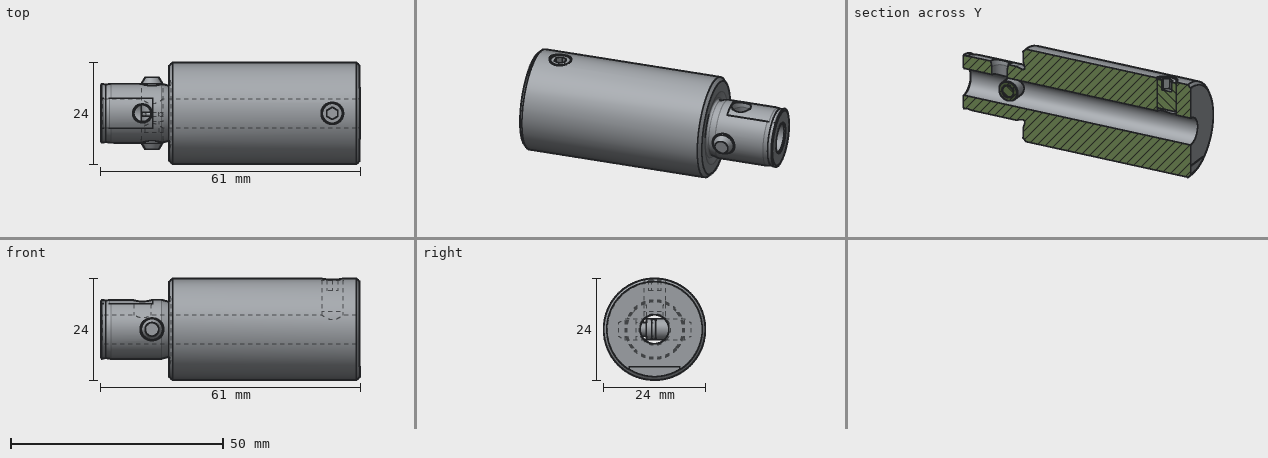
import cadquery as cq
import math

TOTAL_LENGTH = 61.0
SHOULDER_X = 16.0

BODY_RADIUS = 12.0
BODY_CHAMFER = 0.85
BORE_RADIUS = 3.4
BORE_CHAMFER = 0.3

PAD_WIDTH = 12.0
PAD_TOP_Z = -8.8
PAD_HEIGHT = 0.1

SHANK_RADIUS = 7.0
FACE_RADIUS = 6.55
LEAD_LENGTH = 0.2
GROOVE_MIDDLE_X = 1.15
GROOVE_END_X = 2.3
GROOVE_DEPTH = 0.2

NECK_START_X = 14.15
NECK_TAPER = math.tan(math.radians(15.0))
RECESS_RADIUS = 8.7
RECESS_TAPER = math.tan(math.radians(16.0))
ROOT_FILLET = 0.5

RELIEF_END_X = 12.15
RELIEF_WIDTH = 7.0
RELIEF_DEPTH = 0.07
TOP_HOLE_X = 9.75
TOP_HOLE_RADIUS = 2.0
TOP_HOLE_MOUTH_RADIUS = 2.3
TOP_HOLE_FLARE_DEPTH = 1.4

PIN_X = 12.0
PIN_RADIUS = 2.5
PIN_LENGTH = 17.0
PIN_TIP_RADIUS = 1.6
PIN_TIP_LENGTH = 1.5
PIN_HOLE_FLARE_DEPTH = 1.2
PIN_HOLE_MOUTH_RADIUS = 2.8
PIN_NECK_RADIUS = 1.65
PIN_NECK_NEAR_Y = -1.9
PIN_NECK_FAR_Y = -4.4

RING_Y = -0.2
RING_SECTION_RADIUS = 0.5
RING_CENTRE_RADIUS = PIN_RADIUS - RING_SECTION_RADIUS

SCREW_X = 54.45
SCREW_RADIUS = 2.5
SCREW_TOP_Z = 11.7
SCREW_LENGTH = 7.5
SCREW_CHAMFER = 0.15
SCREW_HOLE_MOUTH_RADIUS = 2.65
SCREW_HOLE_FLARE_DEPTH = 0.6
SOCKET_SIDES = 6
SOCKET_ACROSS_FLATS = 2.5
SOCKET_DEPTH = 2.5


def along_x(start, length, radius):
    return cq.Workplane("YZ").workplane(offset=start).circle(radius).extrude(length)


def turned_blank():
    neck_radius_at_shoulder = SHANK_RADIUS - (SHOULDER_X - NECK_START_X) * NECK_TAPER
    root_depth = RECESS_TAPER * (RECESS_RADIUS - neck_radius_at_shoulder) / (1 - RECESS_TAPER * NECK_TAPER)
    root_radius = neck_radius_at_shoulder - root_depth * NECK_TAPER
    root_x = SHOULDER_X + root_depth
    half_profile = (
        cq.Workplane("XY")
        .moveTo(0, 0)
        .lineTo(0, FACE_RADIUS)
        .lineTo(LEAD_LENGTH, SHANK_RADIUS)
        .lineTo(GROOVE_MIDDLE_X, SHANK_RADIUS - GROOVE_DEPTH)
        .lineTo(GROOVE_END_X, SHANK_RADIUS)
        .lineTo(NECK_START_X, SHANK_RADIUS)
        .lineTo(root_x, root_radius)
        .lineTo(SHOULDER_X, RECESS_RADIUS)
        .lineTo(SHOULDER_X, BODY_RADIUS - BODY_CHAMFER)
        .lineTo(SHOULDER_X + BODY_CHAMFER, BODY_RADIUS)
        .lineTo(TOTAL_LENGTH - BODY_CHAMFER, BODY_RADIUS)
        .lineTo(TOTAL_LENGTH, BODY_RADIUS - BODY_CHAMFER)
        .lineTo(TOTAL_LENGTH, 0)
        .close()
    )
    blank = half_profile.revolve(360, (0, 0, 0), (1, 0, 0))
    root_edge = cq.selectors.RadiusNthSelector(0)
    return blank.edges("%CIRCLE").edges(root_edge).fillet(ROOT_FILLET)


def bore():
    drill = along_x(0, TOTAL_LENGTH, BORE_RADIUS)
    mouth = cq.Workplane("YZ").circle(BORE_RADIUS + BORE_CHAMFER)
    mouth = mouth.workplane(offset=BORE_CHAMFER).circle(BORE_RADIUS).loft()
    return drill.union(mouth)


def end_face_relief():
    face_start = TOTAL_LENGTH - PAD_HEIGHT
    slab = along_x(face_start, PAD_HEIGHT, BODY_RADIUS)
    pad = cq.Workplane("XY").box(
        PAD_HEIGHT, PAD_WIDTH, BODY_RADIUS, centered=(False, True, False)
    ).translate((face_start, 0, PAD_TOP_Z - BODY_RADIUS))
    return slab.cut(pad)


def top_relief():
    block = cq.Workplane("XY").box(
        RELIEF_END_X, RELIEF_WIDTH, SHANK_RADIUS, centered=(False, True, False)
    )
    return block.cut(along_x(0, RELIEF_END_X, SHANK_RADIUS - RELIEF_DEPTH))


def flared_hole(radius, mouth_radius, flare_depth, height):
    """Upright hole from the tool axis up to the given height, widening at its mouth."""
    half_profile = cq.Workplane("XZ").polyline([
        (0, 0),
        (radius, 0),
        (radius, height - flare_depth),
        (mouth_radius, height),
        (0, height),
    ]).close()
    return half_profile.revolve(360, (0, 0, 0), (0, 1, 0))


def top_hole():
    hole = flared_hole(TOP_HOLE_RADIUS, TOP_HOLE_MOUTH_RADIUS, TOP_HOLE_FLARE_DEPTH, SHANK_RADIUS)
    return hole.translate((TOP_HOLE_X, 0, 0))


def pin_hole():
    upright = flared_hole(PIN_RADIUS, PIN_HOLE_MOUTH_RADIUS, PIN_HOLE_FLARE_DEPTH, SHANK_RADIUS)
    front = upright.rotate((0, 0, 0), (1, 0, 0), 90)
    back = upright.rotate((0, 0, 0), (1, 0, 0), -90)
    return front.union(back).translate((PIN_X, 0, 0))


def screw_hole():
    hole = flared_hole(SCREW_RADIUS, SCREW_HOLE_MOUTH_RADIUS, SCREW_HOLE_FLARE_DEPTH, BODY_RADIUS)
    return hole.translate((SCREW_X, 0, 0))


def make_housing():
    housing = turned_blank().cut(bore()).cut(end_face_relief()).cut(top_relief())
    return housing.cut(top_hole()).cut(pin_hole()).cut(screw_hole())


def make_pin():
    half_length = PIN_LENGTH / 2
    tip_base = half_length - PIN_TIP_LENGTH
    groove_front = RING_Y + RING_SECTION_RADIUS
    groove_back = RING_Y - RING_SECTION_RADIUS
    groove_floor = RING_CENTRE_RADIUS - RING_SECTION_RADIUS
    half_profile = cq.Workplane("XY").polyline([
        (0, half_length),
        (PIN_TIP_RADIUS, half_length),
        (PIN_RADIUS, tip_base),
        (PIN_RADIUS, groove_front),
        (groove_floor, groove_front),
        (groove_floor, groove_back),
        (PIN_RADIUS, groove_back),
        (PIN_RADIUS, PIN_NECK_NEAR_Y),
        (PIN_NECK_RADIUS, PIN_NECK_NEAR_Y),
        (PIN_NECK_RADIUS, PIN_NECK_FAR_Y),
        (PIN_RADIUS, PIN_NECK_FAR_Y),
        (PIN_RADIUS, -tip_base),
        (PIN_TIP_RADIUS, -half_length),
        (0, -half_length),
    ]).close()
    return half_profile.revolve(360, (0, 0, 0), (0, 1, 0)).translate((PIN_X, 0, 0))


def make_ring():
    section = cq.Workplane("XY").center(RING_CENTRE_RADIUS, RING_Y).circle(RING_SECTION_RADIUS)
    ring = section.revolve(360, (-RING_CENTRE_RADIUS, 0, 0), (-RING_CENTRE_RADIUS, 1, 0))
    return ring.translate((PIN_X, 0, 0))


def make_set_screw():
    half_side_angle = 180 / SOCKET_SIDES
    across_corners = SOCKET_ACROSS_FLATS / math.cos(math.radians(half_side_angle))
    shank = cq.Workplane("XY").circle(SCREW_RADIUS).extrude(-SCREW_LENGTH)
    screw = shank.faces(">Z").chamfer(SCREW_CHAMFER)
    socket = cq.Workplane("XY").polygon(SOCKET_SIDES, across_corners).extrude(-SOCKET_DEPTH)
    socket = socket.rotate((0, 0, 0), (0, 0, 1), half_side_angle)
    return screw.cut(socket).translate((SCREW_X, 0, SCREW_TOP_Z))


housing = make_housing()
pin = make_pin()
ring = make_ring()
set_screw = make_set_screw()

result = cq.Compound.makeCompound([housing.val(), pin.val(), ring.val(), set_screw.val()])